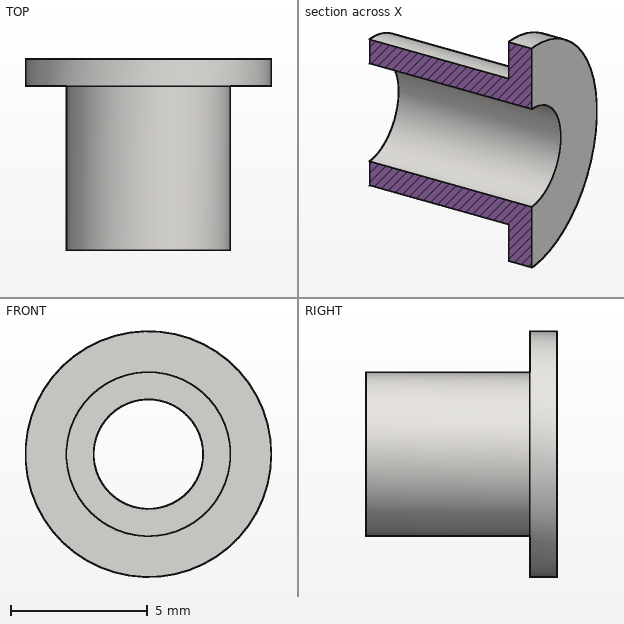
import cadquery as cq

flange_diameter = 9.0
sleeve_diameter = 6.0
bore_diameter = 4.0
total_length = 7.0
flange_thickness = 1.0


def cylinder_along_y(diameter, length):
    """Cylinder from Y = 0 toward -Y, centred on the Y axis."""
    return cq.Workplane("XZ").circle(diameter / 2).extrude(length)


flange = cylinder_along_y(flange_diameter, flange_thickness)
sleeve = cylinder_along_y(sleeve_diameter, total_length)
bore = cylinder_along_y(bore_diameter, total_length)

result = flange.union(sleeve).cut(bore)